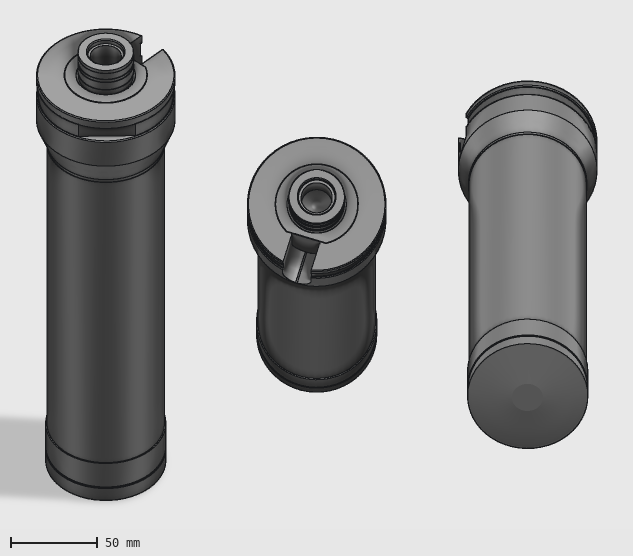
import cadquery as cq
import math

total_height = 320.0
head_top = 302.0

tube_diameter = 68.0
cap_diameter = 69.5
cap_top = 30.7
cap_groove_height = 11.2
cap_groove_width = 1.0
cap_groove_depth = 0.3
end_diameter = 18.0
end_cone_diameter = 68.0
end_cone_height = 2.0

head_diameter = 80.0
head_bottom = 267.2
cone_bottom = 251.5
collar_bottom = 249.3
collar_diameter = 68.5
head_chamfer = 0.5
band_top = 296.0
band_bottom = 286.5
band_diameter = 77.8
band_edge_chamfer = 0.5

flat_distance = 35.2
flat_angle = -45.0

slot_width = 17.0
slot_floor = 268.8
slot_inner_y = 20.8
slit_width = 1.0
slit_depth = 1.0

plug_diameter = 48.0
plug_bottom = slot_floor
plug_chamfer = 0.3
neck_recess_diameter = 34.2
neck_recess_depth = 1.0
neck_diameter = 32.3
neck_tip_diameter = 32.0
neck_groove_diameter = 31.7
neck_tip_bottom = 317.8
neck_groove_top = 313.0
neck_groove_bottom = 310.7
neck_root_top = 305.0
bore_diameter = 18.0
bore_mouth_diameter = 21.0
bore_mouth_depth = 3.2
bore_chamfer = 0.5
bore_depth = 19.2
bore_point_angle = 140.0


def cylinder(diameter, bottom, top):
    """Upright cylinder on the part axis between two heights."""
    return cq.Workplane("XY").workplane(offset=bottom).circle(diameter / 2).extrude(top - bottom)


def ring(outer_diameter, inner_diameter, bottom, top):
    """Upright ring, used to cut grooves around the part."""
    return cylinder(outer_diameter, bottom, top).cut(cylinder(inner_diameter, bottom, top))


def slot_cutter():
    """Radial slot, open at the top and back, with a slit along its half-round floor."""
    radius = slot_width / 2
    floor_center = slot_floor + radius
    length = head_diameter - slot_inner_y
    back = cq.Workplane("XZ", origin=(0, head_diameter, 0))
    slot = (
        back.moveTo(-radius, total_height)
        .lineTo(-radius, floor_center)
        .threePointArc((0, slot_floor), (radius, floor_center))
        .lineTo(radius, total_height)
        .close()
        .extrude(length)
    )
    slit_height = floor_center - slot_floor + slit_depth
    slit = back.center(0, floor_center - slit_height / 2).rect(slit_width, slit_height).extrude(length)
    return slot.union(slit)


def band_cutter():
    """Ring that recesses the band and chamfers the head edges above and below it."""
    inner = band_diameter / 2
    outer = head_diameter / 2
    return (
        cq.Workplane("XZ")
        .moveTo(inner, band_bottom)
        .lineTo(outer - band_edge_chamfer, band_bottom)
        .lineTo(outer, band_bottom - band_edge_chamfer)
        .lineTo(outer, band_top + band_edge_chamfer)
        .lineTo(outer - band_edge_chamfer, band_top)
        .lineTo(inner, band_top)
        .close()
        .revolve(360, (0, 0, 0), (0, 1, 0))
    )


def flat_cutter():
    """Block whose inner face forms the flat on the band."""
    depth = head_diameter / 2
    return (
        cq.Workplane("XY", origin=(0, 0, band_bottom))
        .center(flat_distance + depth / 2, 0)
        .rect(depth, head_diameter)
        .extrude(band_top - band_bottom)
        .rotate((0, 0, 0), (0, 0, 1), flat_angle)
    )


def plug_seat():
    """Plug body with a flat at the inner end of the slot; also the hole that holds it."""
    behind_flat = (
        cq.Workplane("XY", origin=(0, slot_inner_y + plug_diameter / 2, plug_bottom))
        .rect(plug_diameter, plug_diameter)
        .extrude(head_top - plug_bottom)
    )
    return cylinder(plug_diameter, plug_bottom, head_top).cut(behind_flat)


def make_housing():
    """Tube with a shallow conical bottom cap and a wide slotted head."""
    profile = (
        cq.Workplane("XZ")
        .moveTo(0, 0)
        .lineTo(end_diameter / 2, 0)
        .lineTo(end_cone_diameter / 2, end_cone_height)
        .lineTo(cap_diameter / 2, end_cone_height)
        .lineTo(cap_diameter / 2, cap_top)
        .lineTo(tube_diameter / 2, cap_top)
        .lineTo(tube_diameter / 2, collar_bottom)
        .lineTo(collar_diameter / 2, collar_bottom)
        .lineTo(collar_diameter / 2, cone_bottom)
        .lineTo(head_diameter / 2, head_bottom)
        .lineTo(head_diameter / 2, head_top)
        .lineTo(0, head_top)
        .close()
    )
    body = profile.revolve(360, (0, 0, 0), (0, 1, 0))
    body = body.faces(">Z").edges().chamfer(head_chamfer)
    body = body.cut(band_cutter())
    cap_groove_inner = cap_diameter - 2 * cap_groove_depth
    cap_groove_top = cap_groove_height + cap_groove_width
    body = body.cut(ring(cap_diameter, cap_groove_inner, cap_groove_height, cap_groove_top))
    body = body.cut(flat_cutter())
    body = body.cut(plug_seat())
    return body.cut(slot_cutter())


def bore_cutter():
    """Stepped blind bore with a drilled point."""
    bore_bottom = total_height - bore_depth
    point_depth = bore_diameter / 2 / math.tan(math.radians(bore_point_angle / 2))
    mouth_bottom = total_height - bore_mouth_depth
    return (
        cq.Workplane("XZ")
        .moveTo(0, bore_bottom - point_depth)
        .lineTo(bore_diameter / 2, bore_bottom)
        .lineTo(bore_diameter / 2, mouth_bottom)
        .lineTo(bore_mouth_diameter / 2, mouth_bottom)
        .lineTo(bore_mouth_diameter / 2, total_height - bore_chamfer)
        .lineTo(bore_mouth_diameter / 2 + bore_chamfer, total_height)
        .lineTo(0, total_height)
        .close()
        .revolve(360, (0, 0, 0), (0, 1, 0))
    )


def make_plug():
    """Plug seated flush in the head, with a grooved hollow neck above it."""
    recess_floor = head_top - neck_recess_depth
    plug = plug_seat().faces(">Z").edges().chamfer(plug_chamfer)
    plug = plug.cut(ring(neck_recess_diameter, neck_groove_diameter, recess_floor, head_top))
    neck_sections = [
        (neck_groove_diameter, head_top, neck_root_top),
        (neck_diameter, neck_root_top, neck_groove_bottom),
        (neck_groove_diameter, neck_groove_bottom, neck_groove_top),
        (neck_diameter, neck_groove_top, neck_tip_bottom),
        (neck_tip_diameter, neck_tip_bottom, total_height),
    ]
    for diameter, bottom, top in neck_sections:
        plug = plug.union(cylinder(diameter, bottom, top))
    return plug.cut(bore_cutter())


housing = make_housing()
plug = make_plug()
result = cq.Compound.makeCompound([housing.solids().val(), plug.solids().val()])